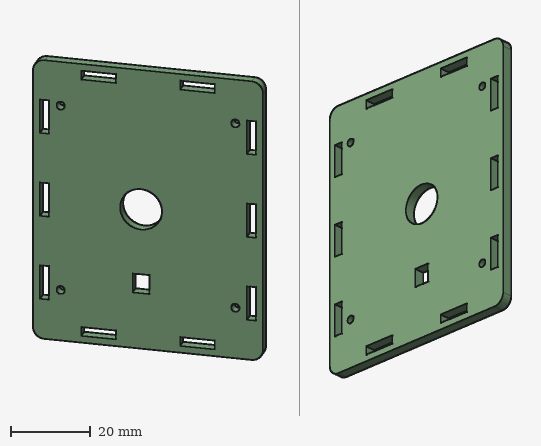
import cadquery as cq

WIDTH = 59.93
HEIGHT = 75.3
THICKNESS = 3.0
CORNER_RADIUS = 3.0

SLOT_LENGTH = 9.0
SLOT_WIDTH = 2.35
SLOT_MARGIN = 1.85
EDGE_TO_SLOT_CENTRE = SLOT_MARGIN + SLOT_WIDTH / 2
END_SLOT_PITCH = 25.73
SIDE_SLOT_PITCH = 22.4

SCREW_DIAMETER = 2.1
SCREW_SPACING_X = 45.5
SCREW_SPACING_Z = 49.8
SCREW_CENTRE_Z = 0.9

OPENING_X = -1.8
OPENING_DIAMETER = 10.88
WINDOW_WIDTH = 4.4
WINDOW_HEIGHT = 5.1
WINDOW_Z = -20.1


def mid_plane():
    """Return a sketch plane at mid-thickness, with local x along X and local y along Z."""
    return cq.Workplane("XZ")


def through(sketch):
    """Extrude a sketch through the full thickness, evenly to both sides."""
    return sketch.extrude(THICKNESS / 2, both=True)


def plate():
    return through(mid_plane().rect(WIDTH, HEIGHT)).edges("|Y").fillet(CORNER_RADIUS)


def end_slots():
    end_z = HEIGHT / 2 - EDGE_TO_SLOT_CENTRE
    end_x = END_SLOT_PITCH / 2
    centres = [(x, z) for x in (-end_x, end_x) for z in (-end_z, end_z)]
    return through(mid_plane().pushPoints(centres).rect(SLOT_LENGTH, SLOT_WIDTH))


def side_slots():
    side_x = WIDTH / 2 - EDGE_TO_SLOT_CENTRE
    rows = (-SIDE_SLOT_PITCH, 0, SIDE_SLOT_PITCH)
    centres = [(x, z) for x in (-side_x, side_x) for z in rows]
    return through(mid_plane().pushPoints(centres).rect(SLOT_WIDTH, SLOT_LENGTH))


def screw_holes():
    pattern = mid_plane().center(0, SCREW_CENTRE_Z).rect(SCREW_SPACING_X, SCREW_SPACING_Z, forConstruction=True)
    return through(pattern.vertices().circle(SCREW_DIAMETER / 2))


def round_opening():
    return through(mid_plane().center(OPENING_X, 0).circle(OPENING_DIAMETER / 2))


def window():
    return through(mid_plane().center(OPENING_X, WINDOW_Z).rect(WINDOW_WIDTH, WINDOW_HEIGHT))


result = plate()
for opening in (end_slots, side_slots, screw_holes, round_opening, window):
    result = result.cut(opening())